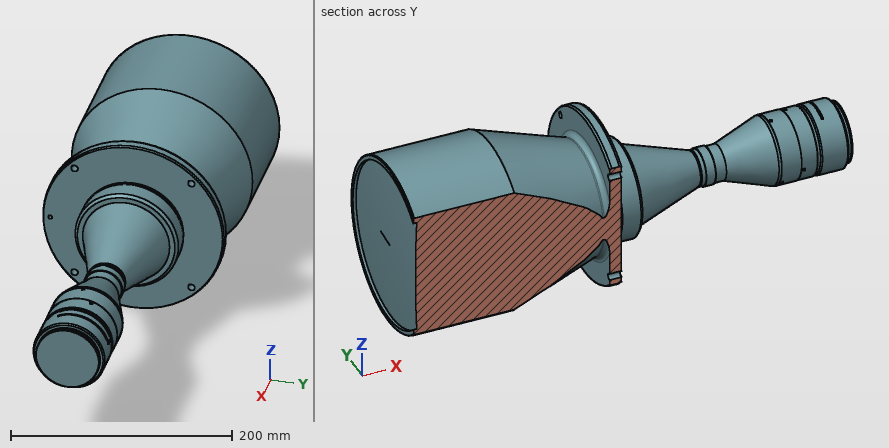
import cadquery as cq
import math

LENGTH = 446.0

BARREL_D = 169.0
BARREL_R = BARREL_D / 2
BARREL_CHAMFER = 1.0
BARREL_END = 100.0
LENS_R = 80.0
LENS_RECESS = 3.0
LENS_SAG = 2.2
TAPER_END = 187.5
TAPER_END_R = 56.0

FLANGE_START = 194.0
FLANGE_END = 206.0
FLANGE_R = BARREL_R
FLANGE_BEVEL_LENGTH = 2.2
FLANGE_BEVEL_DEPTH = 1.0
FLANGE_FILLET = 5.5
BOLT_CIRCLE_R = 77.0
BOLT_COUNT = 4
BOLT_HOLE_D = 6.2
BOLT_START_ANGLE = 45.0
PIN_HOLE_D = 3.5
PIN_ANGLE = -90.0

COLLAR_START = 210.0
COLLAR_END = 231.0
COLLAR_R = 48.0
COLLAR_CHAMFER = 2.5
COLLAR_RELIEF_R = 47.5

REAR_TAPER_R = 40.5
WAIST_START = 301.0
WAIST_R = 17.5
WAIST_LIP_END = 302.5
WAIST_LIP_R = 17.0
WAIST_RING_START = 306.5
WAIST_RING_END = 316.0
WAIST_RING_R = 18.5
WAIST_END = 326.5

FLARE_END = 371.5
FLARE_END_R = 33.0
FOCUS_START = 374.0
IRIS_START = 394.0
IRIS_END = 410.0
FOCUS_R = 33.5
IRIS_STEP = 0.22
IRIS_R = FOCUS_R - IRIS_STEP

REAR_RING_START = 413.0
REAR_RING_END = 440.5
REAR_RING_R = 33.5
REAR_RING_CHAMFER = 1.5
RING_GAP_R = REAR_RING_R - REAR_RING_CHAMFER
TIP_R = 29.5
TIP_GROOVE_R = 29.0
TIP_GROOVE_START = 442.0
TIP_GROOVE_END = 444.5

SCREW_COUNT = 3
SCREW_D = 2.5
SCREW_DEPTH = 2.2
SCREW_SETBACK = 2.5
FOCUS_SCREW_ANGLE = -4.5
IRIS_SCREW_ANGLE = 17.0

BAYONET_X = 423.0
BAYONET_WIDTH = 1.5
BAYONET_DEPTH = 1.5
BAYONET_FROM = -26.0
BAYONET_TO = 77.0


def lens_body():
    """Turned body: half outline revolved about the X axis."""
    fillet_mid = FLANGE_FILLET * math.sqrt(0.5)
    fillet_start = FLANGE_START - FLANGE_FILLET
    fillet_top_r = TAPER_END_R + FLANGE_FILLET
    lens_apex = LENS_RECESS - LENS_SAG
    lens_mid = lens_apex + LENS_SAG / 4
    bevel_r = FLANGE_R - FLANGE_BEVEL_DEPTH
    outline = (
        cq.Workplane("XY")
        .moveTo(lens_apex, 0)
        .threePointArc((lens_mid, LENS_R / 2), (LENS_RECESS, LENS_R))
        .lineTo(0, LENS_R)
        .lineTo(0, BARREL_R - BARREL_CHAMFER)
        .lineTo(BARREL_CHAMFER, BARREL_R)
        .lineTo(BARREL_END, BARREL_R)
        .lineTo(TAPER_END, TAPER_END_R)
        .lineTo(fillet_start, TAPER_END_R)
        .threePointArc(
            (fillet_start + fillet_mid, fillet_top_r - fillet_mid),
            (FLANGE_START, fillet_top_r),
        )
        .lineTo(FLANGE_START, bevel_r)
        .lineTo(FLANGE_START + FLANGE_BEVEL_LENGTH, FLANGE_R)
        .lineTo(FLANGE_END - FLANGE_BEVEL_LENGTH, FLANGE_R)
        .lineTo(FLANGE_END, bevel_r)
        .lineTo(FLANGE_END, COLLAR_RELIEF_R)
        .lineTo(COLLAR_START, COLLAR_RELIEF_R)
        .lineTo(COLLAR_START, COLLAR_R)
        .lineTo(COLLAR_END - COLLAR_CHAMFER, COLLAR_R)
        .lineTo(COLLAR_END, COLLAR_R - COLLAR_CHAMFER)
        .lineTo(COLLAR_END, REAR_TAPER_R)
        .lineTo(WAIST_START, WAIST_R)
        .lineTo(WAIST_START, WAIST_LIP_R)
        .lineTo(WAIST_LIP_END, WAIST_LIP_R)
        .lineTo(WAIST_LIP_END, WAIST_R)
        .lineTo(WAIST_RING_START, WAIST_R)
        .lineTo(WAIST_RING_START, WAIST_RING_R)
        .lineTo(WAIST_RING_END, WAIST_RING_R)
        .lineTo(WAIST_RING_END, WAIST_R)
        .lineTo(WAIST_END, WAIST_R)
        .lineTo(FLARE_END, FLARE_END_R)
        .lineTo(FOCUS_START, FLARE_END_R)
        .lineTo(FOCUS_START, FOCUS_R)
        .lineTo(IRIS_START, FOCUS_R)
        .lineTo(IRIS_START, IRIS_R)
        .lineTo(IRIS_END, IRIS_R)
        .lineTo(IRIS_END, RING_GAP_R)
        .lineTo(REAR_RING_START, RING_GAP_R)
        .lineTo(REAR_RING_START + REAR_RING_CHAMFER, REAR_RING_R)
        .lineTo(REAR_RING_END - REAR_RING_CHAMFER, REAR_RING_R)
        .lineTo(REAR_RING_END, REAR_RING_R - REAR_RING_CHAMFER)
        .lineTo(REAR_RING_END, TIP_R)
        .lineTo(TIP_GROOVE_START, TIP_R)
        .lineTo(TIP_GROOVE_START, TIP_GROOVE_R)
        .lineTo(TIP_GROOVE_END, TIP_GROOVE_R)
        .lineTo(TIP_GROOVE_END, TIP_R)
        .lineTo(LENGTH, TIP_R)
        .lineTo(LENGTH, 0)
        .close()
    )
    return outline.revolve(360, (0, 0, 0), (1, 0, 0))


def about_axis(shape, angle):
    """Turn a shape about X; the angle runs from +Z towards +Y."""
    return shape.rotate((0, 0, 0), (1, 0, 0), -angle)


def flange_hole(diameter, angle):
    """Axial hole through the flange on the bolt circle."""
    hole = (
        cq.Workplane("YZ", origin=(FLANGE_START, 0, 0))
        .center(0, BOLT_CIRCLE_R)
        .circle(diameter / 2)
        .extrude(FLANGE_END - FLANGE_START)
    )
    return about_axis(hole, angle)


def screw_holes(x, radius, start_angle):
    """Equally spaced blind radial holes around a ring."""
    hole = (
        cq.Workplane("XY", origin=(x, 0, radius - SCREW_DEPTH))
        .circle(SCREW_D / 2)
        .extrude(2 * SCREW_DEPTH)
    )
    holes = cq.Workplane()
    for i in range(SCREW_COUNT):
        holes = holes.add(about_axis(hole, start_angle + i * 360 / SCREW_COUNT))
    return holes.combine()


def bayonet_groove():
    """Circumferential groove that leaves through the ring's front edge at one end."""
    floor_r = REAR_RING_R - BAYONET_DEPTH
    arc = (
        cq.Workplane("XY")
        .moveTo(BAYONET_X - BAYONET_WIDTH / 2, floor_r)
        .rect(BAYONET_WIDTH, 2 * BAYONET_DEPTH, centered=(False, False))
        .revolve(BAYONET_TO - BAYONET_FROM, (0, 0, 0), (1, 0, 0))
    )
    arc = about_axis(arc, BAYONET_TO - 90)
    entry = cq.Workplane("XY").box(
        BAYONET_X - REAR_RING_START,
        BAYONET_WIDTH,
        2 * BAYONET_DEPTH,
        centered=(False, True, False),
    )
    entry = about_axis(entry.translate((REAR_RING_START, 0, floor_r)), BAYONET_TO)
    return arc.union(entry)


result = lens_body()
for i in range(BOLT_COUNT):
    result = result.cut(flange_hole(BOLT_HOLE_D, BOLT_START_ANGLE + i * 360 / BOLT_COUNT))
result = result.cut(flange_hole(PIN_HOLE_D, PIN_ANGLE))
result = result.cut(screw_holes(FOCUS_START + SCREW_SETBACK, FOCUS_R, FOCUS_SCREW_ANGLE))
result = result.cut(screw_holes(IRIS_START + SCREW_SETBACK, IRIS_R, IRIS_SCREW_ANGLE))
result = result.cut(bayonet_groove())